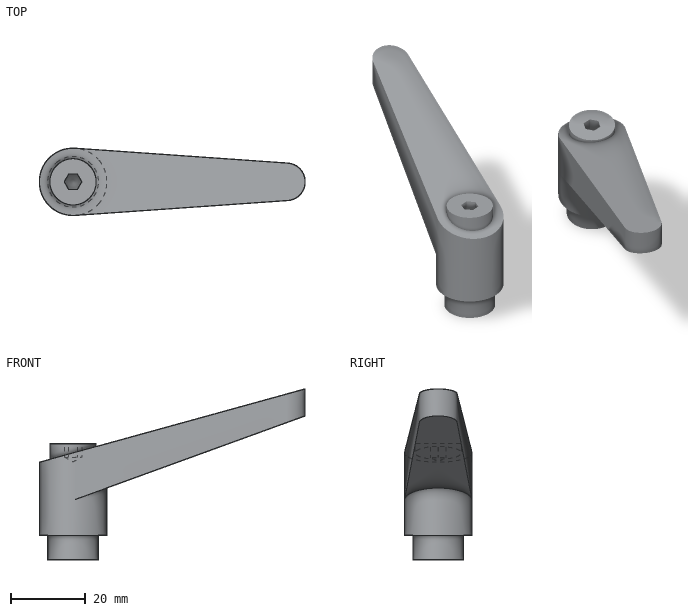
import cadquery as cq
import math

length = 71.0
hub_diameter = 18.0
tip_radius = 5.05
stem_diameter = 13.55
stem_height = 6.5
screw_diameter = 12.35
screw_top = 31.0
socket_across_corners = 4.7
socket_depth = 3.55
socket_point_depth = 1.35

top_height_at_hub = 26.05
top_height_at_tip = 45.65
bottom_height_at_tangent = 16.1
bottom_height_at_tip = 38.4

top_slope = (top_height_at_tip - top_height_at_hub) / length
hub_radius = hub_diameter / 2
tip_end = length - hub_radius
tip_center = tip_end - tip_radius

taper = math.asin((hub_radius - tip_radius) / tip_center)
hub_tangent_x = hub_radius * math.sin(taper)
hub_tangent_y = hub_radius * math.cos(taper)
tip_tangent_x = tip_center + tip_radius * math.sin(taper)
tip_tangent_y = tip_radius * math.cos(taper)


def side_prism(points):
    """Extrude an XZ outline beyond both sides of the part."""
    return cq.Workplane("XZ").polyline(points).close().extrude(hub_diameter, both=True)


def make_arm():
    """Tapered arm with a round tip, cut by the two sloping faces."""
    plan = (
        cq.Workplane("XY")
        .moveTo(hub_tangent_x, hub_tangent_y)
        .lineTo(tip_tangent_x, tip_tangent_y)
        .threePointArc((tip_end, 0), (tip_tangent_x, -tip_tangent_y))
        .lineTo(hub_tangent_x, -hub_tangent_y)
        .close()
        .extrude(top_height_at_tip)
    )
    top_height_at_tangent = top_height_at_hub + top_slope * (hub_radius + hub_tangent_x)
    profile = side_prism([
        (hub_tangent_x, bottom_height_at_tangent),
        (tip_end, bottom_height_at_tip),
        (tip_end, top_height_at_tip),
        (hub_tangent_x, top_height_at_tangent),
    ])
    return plan.intersect(profile)


def make_hub():
    """Cylinder whose upper end follows the sloping top of the arm."""
    cylinder = (
        cq.Workplane("XY", origin=(0, 0, stem_height))
        .circle(hub_radius)
        .extrude(top_height_at_tip - stem_height)
    )
    profile = side_prism([
        (-hub_radius, stem_height),
        (hub_radius, stem_height),
        (hub_radius, top_height_at_hub + top_slope * hub_diameter),
        (-hub_radius, top_height_at_hub),
    ])
    return cylinder.intersect(profile)


def make_socket():
    """Hexagonal key socket whose floor is a cone reaching out to the corners."""
    floor_rim = screw_top - socket_depth
    corner_radius = socket_across_corners / 2
    hexagon = (
        cq.Workplane("XY", origin=(0, 0, floor_rim - socket_point_depth))
        .polygon(6, socket_across_corners)
        .extrude(socket_depth + socket_point_depth)
    )
    pointed_hole = (
        cq.Workplane("XZ")
        .moveTo(0, floor_rim - socket_point_depth)
        .lineTo(corner_radius, floor_rim)
        .lineTo(corner_radius, screw_top)
        .lineTo(0, screw_top)
        .close()
        .revolve()
    )
    return hexagon.intersect(pointed_hole)


stem = cq.Workplane("XY").circle(stem_diameter / 2).extrude(stem_height)
screw_head = (
    cq.Workplane("XY", origin=(0, 0, stem_height))
    .circle(screw_diameter / 2)
    .extrude(screw_top - stem_height)
)
result = make_hub().union(make_arm()).union(stem).union(screw_head).cut(make_socket())